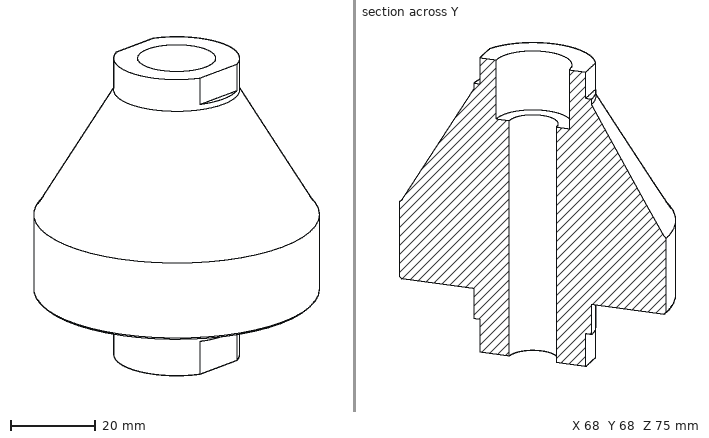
import cadquery as cq

total_height = 75.0
body_diameter = 68.0
neck_diameter = 30.0
body_bottom = 16.0
body_top = 36.0
cone_top = 67.0
edge_chamfer = 0.5

flat_spacing = 27.0
lower_flat_height = 8.3
upper_flat_height = 6.7

bore_diameter = 12.0
socket_diameter = 18.6
socket_depth = 15.0

body_radius = body_diameter / 2
neck_radius = neck_diameter / 2
chamfer_radius = body_radius - edge_chamfer


def revolved_body():
    """Solid of revolution: lower neck, chamfered drum, cone and upper neck."""
    return (
        cq.Workplane("XZ")
        .lineTo(neck_radius, 0)
        .lineTo(neck_radius, body_bottom)
        .lineTo(chamfer_radius, body_bottom)
        .lineTo(body_radius, body_bottom + edge_chamfer)
        .lineTo(body_radius, body_top - edge_chamfer)
        .lineTo(chamfer_radius, body_top)
        .lineTo(neck_radius, cone_top)
        .lineTo(neck_radius, total_height)
        .lineTo(0, total_height)
        .close()
        .revolve(360, (0, 0, 0), (0, 1, 0))
    )


def flat_cutters(bottom, height):
    """Pair of blocks that leave two parallel flats on a neck."""
    cutter_width = neck_diameter
    cutter_thickness = neck_radius
    offset = (flat_spacing + cutter_thickness) / 2
    return (
        cq.Workplane("XY", origin=(0, 0, bottom))
        .pushPoints([(-offset, 0), (offset, 0)])
        .rect(cutter_thickness, cutter_width)
        .extrude(height)
    )


def stepped_bore():
    """Through bore with a wider socket opening at the top."""
    bore = cq.Workplane("XY").circle(bore_diameter / 2).extrude(total_height)
    socket = (
        cq.Workplane("XY", origin=(0, 0, total_height - socket_depth))
        .circle(socket_diameter / 2)
        .extrude(socket_depth)
    )
    return bore.union(socket)


result = (
    revolved_body()
    .cut(flat_cutters(0, lower_flat_height))
    .cut(flat_cutters(total_height - upper_flat_height, upper_flat_height))
    .cut(stepped_bore())
)